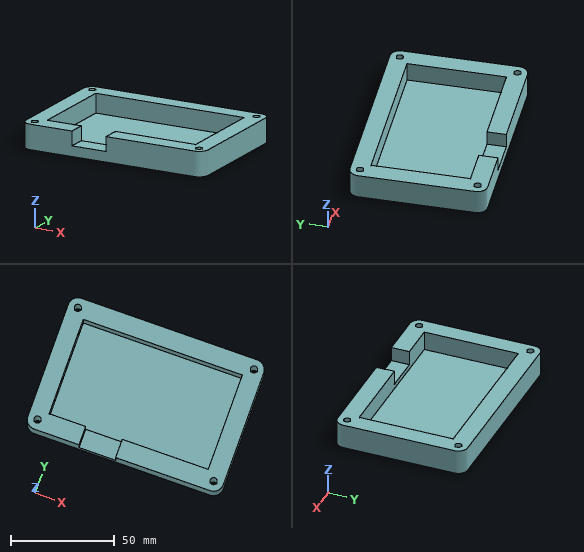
import cadquery as cq

LENGTH = 100.0
WIDTH = 68.0
HEIGHT = 13.0
CORNER_RADIUS = 5.0

POCKET_LENGTH = 81.3
POCKET_WIDTH = 49.0
FLOOR_THICKNESS = 3.0

NOTCH_LENGTH = 18.7
NOTCH_DEPTH = 7.5
NOTCH_START = 28.0

HOLE_DIAMETER = 3.4

FRONT_WALL = (WIDTH - POCKET_WIDTH) / 2


def make_block():
    return (
        cq.Workplane("XY")
        .rect(LENGTH, WIDTH)
        .extrude(HEIGHT)
        .edges("|Z")
        .fillet(CORNER_RADIUS)
    )


def make_pocket():
    return (
        cq.Workplane("XY")
        .workplane(offset=FLOOR_THICKNESS)
        .rect(POCKET_LENGTH, POCKET_WIDTH)
        .extrude(HEIGHT - FLOOR_THICKNESS)
    )


def make_notch():
    return cq.Workplane("XY").box(NOTCH_LENGTH, FRONT_WALL, NOTCH_DEPTH, centered=False).translate(
        (NOTCH_START - LENGTH / 2, -WIDTH / 2, HEIGHT - NOTCH_DEPTH)
    )


def make_screw_holes():
    return (
        cq.Workplane("XY")
        .rect(LENGTH - 2 * CORNER_RADIUS, WIDTH - 2 * CORNER_RADIUS, forConstruction=True)
        .vertices()
        .circle(HOLE_DIAMETER / 2)
        .extrude(HEIGHT)
    )


result = make_block().cut(make_pocket()).cut(make_notch()).cut(make_screw_holes())